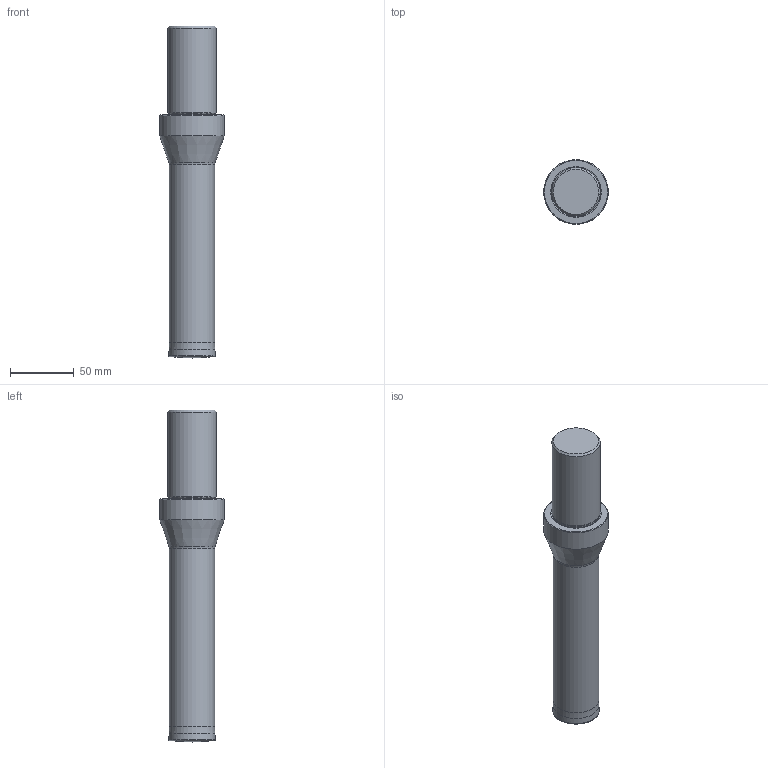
import math

import cadquery as cq

total_length = 260.86
tip_height = 1.05
head_top = 6.5
flare_top = 12.0
cone_bottom = 152.7
flange_bottom = 174.6
flange_top = 191.0
shank_bottom = 192.6

neck_radius = 35.8 / 2
flange_radius = 50.8 / 2
shank_radius = 38.1 / 2

flare_angle = math.radians(2.3)

cone_angle = math.atan((flange_radius - neck_radius) / (flange_bottom - cone_bottom))
cone_blend_length = 0.8

undercut_radius = shank_radius - 0.45
undercut_top = 191.8
undercut_rim_radius = shank_radius + 0.8
undercut_depth = 0.4

tip_fillet = 0.6
flange_chamfer = 0.5
shank_chamfer_height = 1.6
shank_chamfer_width = 1.3


def neck_blend_point(start_height, arc_radius, angle, direction):
    """(radius, height) on a concave arc that leaves the neck at start_height, going up (1) or down (-1)."""
    return (
        neck_radius + arc_radius * (1 - math.cos(angle)),
        start_height + direction * arc_radius * math.sin(angle),
    )


def revolve_around_axis(profile):
    """Revolve a closed (radius, height) profile around the Z axis."""
    return profile.revolve(360, (0, 0), (0, 1))


flare_arc_radius = (flare_top - head_top) / math.sin(flare_angle)
flare_arc_middle = neck_blend_point(flare_top, flare_arc_radius, flare_angle / 2, -1)
flare_arc_end = neck_blend_point(flare_top, flare_arc_radius, flare_angle, -1)


def make_head():
    """Slightly flared head with a very flat conical tip and a rounded rim."""
    head_radius = flare_arc_end[0] + (head_top - tip_height) * math.tan(flare_angle)
    profile = (
        cq.Workplane("XZ")
        .moveTo(0, 0)
        .lineTo(head_radius, tip_height)
        .lineTo(*flare_arc_end)
        .lineTo(0, head_top)
        .close()
    )
    tip_rim = cq.selectors.RadiusNthSelector(-1)
    return revolve_around_axis(profile).edges("%CIRCLE").edges(tip_rim).fillet(tip_fillet)


def make_holder():
    """Neck, cone, flange, undercut and shank turned in one piece."""
    cone_blend_start = cone_bottom - cone_blend_length
    cone_blend_radius = cone_blend_length / math.tan(cone_angle / 2)
    cone_blend_middle = neck_blend_point(cone_blend_start, cone_blend_radius, cone_angle / 2, 1)
    cone_blend_end = neck_blend_point(cone_blend_start, cone_blend_radius, cone_angle, 1)
    profile = (
        cq.Workplane("XZ")
        .moveTo(0, head_top)
        .lineTo(*flare_arc_end)
        .threePointArc(flare_arc_middle, (neck_radius, flare_top))
        .lineTo(neck_radius, cone_blend_start)
        .threePointArc(cone_blend_middle, cone_blend_end)
        .lineTo(flange_radius, flange_bottom)
        .lineTo(flange_radius, flange_top - flange_chamfer)
        .lineTo(flange_radius - flange_chamfer, flange_top)
        .lineTo(undercut_rim_radius, flange_top)
        .lineTo(undercut_radius, flange_top - undercut_depth)
        .lineTo(undercut_radius, undercut_top)
        .lineTo(shank_radius, shank_bottom)
        .lineTo(shank_radius, total_length - shank_chamfer_height)
        .lineTo(shank_radius - shank_chamfer_width, total_length)
        .lineTo(0, total_length)
        .close()
    )
    return revolve_around_axis(profile)


head = make_head()
holder = make_holder()
result = cq.Compound.makeCompound([head.val(), holder.val()])